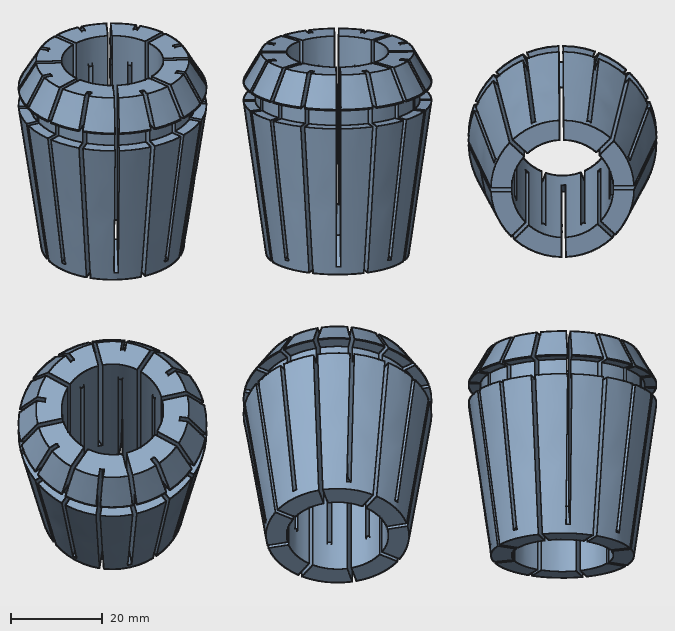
import cadquery as cq
import math

length = 46.0
outer_radius = 41.0 / 2
bore_radius = 11.1

nose_angle = 30.0
body_angle = 8.0
body_top = 34.9
rim_bottom = 39.05
rim_height = 0.28
groove_radius = 17.95

slot_count = 8
slot_pitch = 360 / slot_count
slot_width = 0.9
reach = 23.0
overrun = 4.6

floor_arc_radius = 36.8
floor_overlap = 0.45
floor_inner_radius = bore_radius - floor_overlap
top_slot_inner = (floor_inner_radius, 8.33)
top_slot_outer = (15.9, 1.85)
bottom_slot_inner = (floor_inner_radius, 37.7)
bottom_slot_outer = (14.8, length)


def collet_blank():
    """Revolved body with nose cone, groove, long taper and bore."""
    rim_top = rim_bottom + rim_height
    nose_radius = outer_radius - (length - rim_top) * math.tan(math.radians(nose_angle))
    tail_radius = outer_radius - body_top * math.tan(math.radians(body_angle))
    profile = [
        (bore_radius, 0),
        (tail_radius, 0),
        (outer_radius, body_top),
        (groove_radius, body_top),
        (groove_radius, rim_bottom),
        (outer_radius, rim_bottom),
        (outer_radius, rim_top),
        (nose_radius, length),
        (bore_radius, length),
    ]
    return cq.Workplane("XZ").polyline(profile).close().revolve(360, (0, 0), (0, 1))


def slot_cutter(inner, outer, open_end):
    """Radial slab in the +X direction, from an arc-shaped floor to the open end."""
    bow_radius = math.copysign(floor_arc_radius, outer[1] - inner[1])
    floor = (
        cq.Workplane("XZ")
        .moveTo(0, open_end)
        .lineTo(0, inner[1])
        .lineTo(*inner)
        .radiusArc(outer, bow_radius)
    )
    outline = floor.lineTo(reach, outer[1]).lineTo(reach, open_end).close()
    return outline.extrude(slot_width / 2, both=True)


top_slot = slot_cutter(top_slot_inner, top_slot_outer, length + overrun)
bottom_slot = slot_cutter(bottom_slot_inner, bottom_slot_outer, -overrun)

result = collet_blank()
for index in range(slot_count):
    top_angle = index * slot_pitch
    bottom_angle = top_angle + slot_pitch / 2
    result = result.cut(top_slot.rotate((0, 0, 0), (0, 0, 1), top_angle))
    result = result.cut(bottom_slot.rotate((0, 0, 0), (0, 0, 1), bottom_angle))